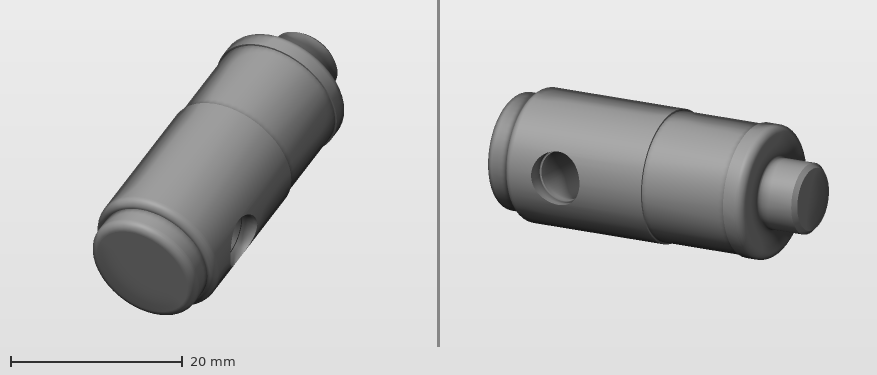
import cadquery as cq

total_length = 40.0
front_y = -total_length / 2
rear_y = total_length / 2

barrel_diameter = 16.0
barrel_edge_radius = 1.0
button_length = 3.0
stud_length = 5.0
barrel_front_y = front_y + button_length
barrel_rear_y = rear_y - stud_length
stud_diameter = 8.5
stud_chamfer = 0.5
stud_root_radius = 0.25

relief_diameter = 15.5
rear_collar_length = 2.5
relief_length = 11.0
relief_rear_y = barrel_rear_y - rear_collar_length
relief_front_y = relief_rear_y - relief_length

button_diameter = 14.0
button_edge_radius = 1.0

cross_hole_y = front_y + 10.0
cross_hole_diameter = 6.0
counterbore_diameter = 6.5
counterbore_depth = 2.0
counterbore_floor_x = barrel_diameter / 2 - counterbore_depth


def cylinder_along_y(diameter, start_y, end_y):
    """Solid cylinder on the Y axis between two stations."""
    return (
        cq.Workplane("XZ", origin=(0, start_y, 0))
        .circle(diameter / 2)
        .extrude(start_y - end_y)
    )


def cross_cylinder(diameter, start_x, end_x):
    """Cylinder along X on the cross-hole axis, between two stations."""
    return (
        cq.Workplane("YZ", origin=(start_x, cross_hole_y, 0))
        .circle(diameter / 2)
        .extrude(end_x - start_x)
    )


def make_stud():
    """Rear stud with a chamfered tip."""
    stud = cylinder_along_y(stud_diameter, barrel_rear_y, rear_y)
    return stud.faces(">Y").edges().chamfer(stud_chamfer)


def make_relief():
    """Thin ring removed from the outside of the barrel."""
    ring = cylinder_along_y(barrel_diameter, relief_front_y, relief_rear_y)
    return ring.cut(cylinder_along_y(relief_diameter, relief_front_y, relief_rear_y))


def cut_cross_hole(body):
    """Through hole along X with a flat counterbore on each side."""
    half_width = barrel_diameter / 2
    body = body.cut(cross_cylinder(cross_hole_diameter, -half_width, half_width))
    for side in (-1, 1):
        body = body.cut(
            cross_cylinder(counterbore_diameter, side * counterbore_floor_x, side * half_width)
        )
    return body


def make_housing():
    """Barrel and stud in one piece, with the relief and the cross hole."""
    barrel = cylinder_along_y(barrel_diameter, barrel_front_y, barrel_rear_y)
    barrel = barrel.faces("<Y or >Y").edges().fillet(barrel_edge_radius)
    body = barrel.union(make_stud())
    shoulder = body.faces(cq.selectors.NearestToPointSelector((0, barrel_rear_y, 0)))
    body = shoulder.edges(cq.selectors.RadiusNthSelector(0)).fillet(stud_root_radius)
    return cut_cross_hole(body.cut(make_relief()))


def make_button():
    """Round button with a rounded front edge."""
    button = cylinder_along_y(button_diameter, front_y, barrel_front_y)
    return button.faces("<Y").edges().fillet(button_edge_radius)


housing = make_housing()
button = make_button()

result = cq.Compound.makeCompound([housing.solids().val(), button.solids().val()])